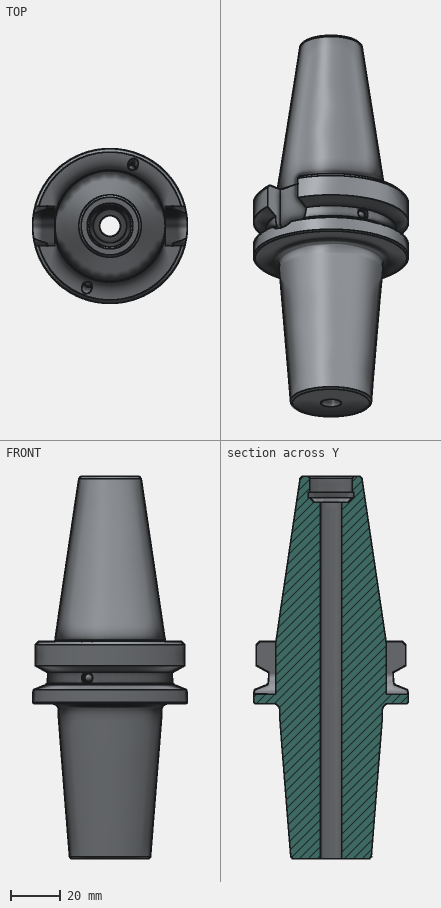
import cadquery as cq
import math

total_length = 155.4
gauge_z = 90.0
flange_top_z = 88.3
flange_bottom_z = 63.0
neck_straight_bottom_z = 57.5

flange_diameter = 63.0
flange_radius = flange_diameter / 2
gauge_radius = 22.2
taper_ratio = 7 / 24
taper_top_radius = gauge_radius - (total_length - gauge_z) * taper_ratio / 2
collar_radius = 22.4
neck_radius = 21.0
nose_radius = 16.5

taper_top_chamfer = 1.0
collar_fillet = 0.5
collar_rise = 0.8
flange_top_chamfer = 1.4
flange_bottom_chamfer = 0.6
neck_fillet = 2.5
nose_chamfer = 0.8

groove_radius = 26.5
groove_floor_top_z = 75.7
groove_floor_bottom_z = 71.3
groove_corner_drop = 0.6
groove_corner_run = 0.3
lower_rim_top_z = 68.7
upper_side_angle = 30.0
upper_side_rise = (flange_radius - groove_radius) * math.tan(math.radians(upper_side_angle))

keyway_width = 16.2
keyway_floor_x = 22.5
keyway_bottom_z = 67.0

socket_radius = 8.5
socket_chamfer = 0.8
socket_depth = 6.5
relief_radius = 9.2
relief_width = 2.2
thread_radius = 6.8
socket_floor_depth = 10.5
through_radius = 4.2

top_hole_circle_radius = 26.7
hole_angle = 69.5
top_hole_radius = 2.0
groove_hole_radius = 2.3
ball_radius = 1.7
top_hole_tilt = 35.0
top_ball_depth = 3.5
groove_ball_depth = 1.9


def make_body():
    """Turned body: half profile revolved about Z."""
    profile = (
        cq.Workplane("XZ")
        .moveTo(0, 0)
        .lineTo(nose_radius - nose_chamfer, 0)
        .lineTo(nose_radius, nose_chamfer)
        .lineTo(neck_radius, neck_straight_bottom_z)
        .lineTo(neck_radius, flange_bottom_z - neck_fillet)
        .radiusArc((neck_radius + neck_fillet, flange_bottom_z), neck_fillet)
        .lineTo(flange_radius - flange_bottom_chamfer, flange_bottom_z)
        .lineTo(flange_radius, flange_bottom_z + flange_bottom_chamfer)
        .lineTo(flange_radius, lower_rim_top_z)
        .lineTo(groove_radius + groove_corner_run, groove_floor_bottom_z - groove_corner_drop)
        .lineTo(groove_radius, groove_floor_bottom_z)
        .lineTo(groove_radius, groove_floor_top_z)
        .lineTo(flange_radius, groove_floor_top_z + upper_side_rise)
        .lineTo(flange_radius, flange_top_z - flange_top_chamfer)
        .lineTo(flange_radius - flange_top_chamfer, flange_top_z)
        .lineTo(collar_radius + collar_fillet, flange_top_z)
        .radiusArc((collar_radius, flange_top_z + collar_fillet), collar_fillet)
        .lineTo(collar_radius, gauge_z - collar_rise)
        .lineTo(gauge_radius, gauge_z)
        .lineTo(taper_top_radius, total_length - taper_top_chamfer)
        .lineTo(taper_top_radius - taper_top_chamfer, total_length)
        .lineTo(0, total_length)
        .close()
    )
    return profile.revolve(360, (0, 0, 0), (0, 1, 0))


def make_bore():
    """Stepped drawbar socket with the bore that runs through to the nose."""
    profile = (
        cq.Workplane("XZ")
        .moveTo(0, 0)
        .lineTo(through_radius, 0)
        .lineTo(through_radius, total_length - socket_floor_depth)
        .lineTo(thread_radius, total_length - socket_floor_depth)
        .lineTo(socket_radius, total_length - socket_depth - relief_width)
        .lineTo(relief_radius, total_length - socket_depth - relief_width)
        .lineTo(relief_radius, total_length - socket_depth)
        .lineTo(socket_radius, total_length - socket_depth)
        .lineTo(socket_radius, total_length - socket_chamfer)
        .lineTo(socket_radius + socket_chamfer, total_length)
        .lineTo(0, total_length)
        .close()
    )
    return profile.revolve(360, (0, 0, 0), (0, 1, 0))


def make_keyway():
    """Round-bottomed keyway on the +X side, open at the flange top."""
    end_radius = keyway_width / 2
    arc_center_z = keyway_bottom_z + end_radius
    return (
        cq.Workplane("YZ", origin=(keyway_floor_x, 0, 0))
        .moveTo(-end_radius, gauge_z)
        .lineTo(-end_radius, arc_center_z)
        .threePointArc((0, keyway_bottom_z), (end_radius, arc_center_z))
        .lineTo(end_radius, gauge_z)
        .close()
        .extrude(flange_radius)
    )


def plugged_hole(mouth, outward, hole_radius, ball_depth):
    """Round hole about the outward axis, overrunning its mouth, with half a ball on its floor."""
    plane = cq.Plane(mouth - outward * ball_depth, (1, 0, 0), outward)
    hole = cq.Workplane(plane).circle(hole_radius).extrude(ball_depth + hole_radius)
    ball = cq.Workplane(plane).sphere(ball_radius)
    return hole.cut(ball)


result = make_body().cut(make_bore())

for side_angle in (0, 180):
    result = result.cut(make_keyway().rotate((0, 0, 0), (0, 0, 1), side_angle))

groove_mid_z = (groove_floor_top_z + groove_floor_bottom_z) / 2
tilt = math.radians(top_hole_tilt)
up = cq.Vector(0, 0, 1)
for angle in (hole_angle, hole_angle + 180):
    radial = cq.Vector(math.cos(math.radians(angle)), math.sin(math.radians(angle)), 0)
    top_axis = radial * math.sin(tilt) + up * math.cos(tilt)
    top_mouth = radial * top_hole_circle_radius + up * flange_top_z
    result = result.cut(plugged_hole(top_mouth, top_axis, top_hole_radius, top_ball_depth))
    groove_mouth = radial * groove_radius + up * groove_mid_z
    result = result.cut(plugged_hole(groove_mouth, radial, groove_hole_radius, groove_ball_depth))